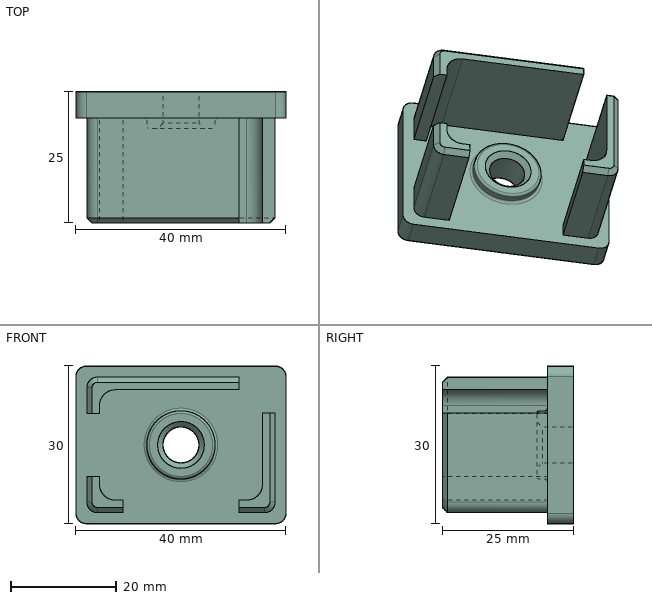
import cadquery as cq
import math

plate_length = 40.0
plate_height = 30.0
plate_thickness = 5.0
plate_corner_radius = 2.0

insert_length = 35.8
insert_height = 25.8
insert_depth = 20.0
insert_corner_radius = 2.0
insert_tip_chamfer = 1.0
wall_thickness = 2.4
inner_corner_radius = 3.0
gap_edge_x = 11.05
gap_edge_z = 6.0
right_wall_top = 6.1

boss_diameter = 13.0
boss_height = 2.0
boss_edge_radius = boss_height / 4
hole_diameter = 6.8
countersink_diameter = 8.9
countersink_depth = (countersink_diameter - hole_diameter) / 2

FRONT = cq.Workplane("XZ")


def rounded_block(length, height, depth, corner_radius):
    """Block from Y = 0 to Y = -depth with rounded edges along Y."""
    return FRONT.rect(length, height).extrude(depth).edges("|Y").fillet(corner_radius)


def gap(x_start, x_end, z_start, z_end):
    """Block that clears the insert between two X and two Z limits."""
    return (
        FRONT.center((x_start + x_end) / 2, (z_start + z_end) / 2)
        .rect(x_end - x_start, z_end - z_start)
        .extrude(insert_depth)
    )


def make_plate():
    plate = rounded_block(plate_length, plate_height, plate_thickness, plate_corner_radius)
    return plate.translate((0, plate_thickness, 0))


def make_insert():
    outer = rounded_block(insert_length, insert_height, insert_depth, insert_corner_radius)
    outer = outer.faces("<Y").chamfer(insert_tip_chamfer)
    inner = rounded_block(
        insert_length - 2 * wall_thickness,
        insert_height - 2 * wall_thickness,
        insert_depth,
        inner_corner_radius,
    )
    walls = outer.cut(inner)

    side = plate_length / 2
    top = plate_height / 2
    left_gap = gap(-side, 0, -gap_edge_z, gap_edge_z)
    bottom_gap = gap(-gap_edge_x, gap_edge_x, -top, 0)
    top_right_gap = gap(gap_edge_x, side, right_wall_top, top)
    return walls.cut(left_gap).cut(bottom_gap).cut(top_right_gap)


def make_boss():
    """Boss revolved about Y, with a concave foot and a rounded rim."""
    radius = boss_diameter / 2
    edge = boss_edge_radius
    arc_middle = edge * (1 - math.cos(math.radians(45)))
    profile = (
        cq.Workplane("XY")
        .lineTo(radius + edge, 0)
        .threePointArc((radius + arc_middle, -arc_middle), (radius, -edge))
        .lineTo(radius, -boss_height + edge)
        .threePointArc(
            (radius - arc_middle, -boss_height + arc_middle),
            (radius - edge, -boss_height),
        )
        .lineTo(0, -boss_height)
        .close()
    )
    return profile.revolve(360, (0, 0, 0), (0, 1, 0))


def make_hole():
    """Through hole, widened by a 45 degree countersink at the boss end."""
    hole_radius = hole_diameter / 2
    profile = (
        cq.Workplane("XY")
        .moveTo(0, plate_thickness)
        .lineTo(hole_radius, plate_thickness)
        .lineTo(hole_radius, -boss_height + countersink_depth)
        .lineTo(countersink_diameter / 2, -boss_height)
        .lineTo(0, -boss_height)
        .close()
    )
    return profile.revolve(360, (0, 0, 0), (0, 1, 0))


result = make_plate().union(make_insert()).union(make_boss()).cut(make_hole())